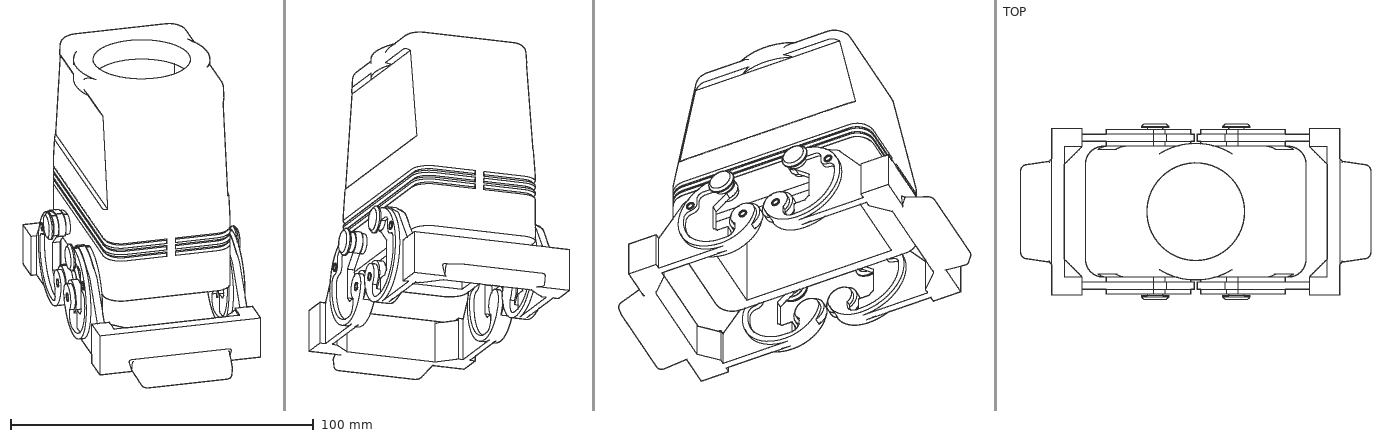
import cadquery as cq
import math

HOOD_HALF_LENGTH = 36.5
HOOD_HALF_WIDTH = 21.7
HOOD_BOTTOM = 20.6
HOOD_TOP = 90.5
TAPER_START = 44.1
TAPER_BLEND_RADIUS = 4.0
TOP_HALF_LENGTH = 27.8
CORNER_RADIUS = 6.0
TOP_EDGE_RADIUS = 2.5

ENTRY_RADIUS = 16.1
ROOF_THICKNESS = 7.0
CAVITY_TOP = HOOD_TOP - ROOF_THICKNESS
ENTRY_BOSS_RADIUS = 22.6
CAVITY_HALF_LENGTH = 26.5
CAVITY_HALF_WIDTH = 18.5

PANEL_DEPTH = 1.0
PANEL_BOTTOM = 51.6
PANEL_TOP_BEVEL = 1.4
PANEL_BOTTOM_BEVEL = 0.8

GROOVE_CENTRES = (35.9, 38.2, 40.5)
GROOVE_DEPTH = 0.8
GROOVE_GAP = 3.0

YOKE_OUTER_X = 47.6
YOKE_INNER_X = 37.5
YOKE_BAR_THICKNESS = 4.2
YOKE_HALF_WIDTH = 27.6
YOKE_HEIGHT = 14.1
YOKE_ARM_WIDTH = 6.0
GUSSET_DROP = 0.7
GUSSET_LEG = YOKE_OUTER_X - YOKE_BAR_THICKNESS - YOKE_INNER_X

PLATE_THICKNESS = 2.4
PLATE_MARGIN = 0.5
RIM_THICKNESS = 5.6
RIM_OUTER_Y = HOOD_HALF_WIDTH + RIM_THICKNESS
PLATE_OUTER_Y = HOOD_HALF_WIDTH + (RIM_THICKNESS + PLATE_THICKNESS) / 2

CAM_X = -13.9
CAM_RADIUS = 15.7
RIM_INNER_RADIUS = 13.8
HOOK_X = -6.0
HOOK_Z = 10.5
HOOK_PLATE_RADIUS = 5.6
HOOK_RIM_RADIUS = 4.4
NECK_X = -8.8
NECK_TOP = 7.2
NOTCH_RADIUS = 3.4
NOTCH_X = NECK_X - NOTCH_RADIUS
RIM_FLOOR = CAM_RADIUS - RIM_INNER_RADIUS
OPENING_X = -17.6
OPENING_BOTTOM = 8.5
OPENING_TOP = 20.0
OPENING_CORNER = 1.6
CAM_ARC_END = 124
SHOULDER_TOP = (-27.5, 27.0)
SHOULDER_MIDDLE = (-28.6, 26.2)
SHOULDER_BOTTOM = (-29.4, 25.0)
PLATE_EMBED = 1.2

PIVOT_X = -13.4
PIVOT_Z = 28.0
PIVOT_EYE_RADIUS = 3.4
EYE_TANGENT_ANGLE = -53
PIVOT_RADIUS = 2.5
PIVOT_HEAD_RADIUS = 4.5
WIDTH_OVER_PINS = 58.0
PIVOT_HEAD_THICKNESS = 1.3
PIVOT_HEAD_CHAMFER = 0.8
PIVOT_HEAD_Y = WIDTH_OVER_PINS / 2
PIVOT_INSET = 2.1

RIVET_X = -25.2
RIVET_Z = 22.7
RIVET_PAD_RADIUS = 2.5
RIVET_RING_OUTER = 1.4
RIVET_RING_INNER = 1.0
RIVET_RING_DEPTH = 0.3
PAD_EDGE_X = RIVET_X + RIVET_PAD_RADIUS
PAD_TOP = 27.0
PAD_CORNER = 2.3
RIM_ARC_END = 173
RIM_TO_PAD_MIDDLE = (-26.7, 19.5)

TAB_TILT = 15.4
TAB_THICKNESS = 4.3
TAB_ROOT_Z = 4.3
TAB_LENGTH = 10.9
TAB_ROOT_HALF_WIDTH = 16.7
TAB_FLARE = 1.0
TAB_TIP_HALF_WIDTH = 15.3
TAB_CORNER_RADIUS = 2.2
TAB_EDGE_RADIUS = 0.8
TAB_EMBED = 2.3


def polar(x, z, radius, degrees):
    """Point at an angle on a circle about (x, z), measured from +X towards +Z."""
    angle = math.radians(degrees)
    return x + radius * math.cos(angle), z + radius * math.sin(angle)


def side_disc(x, z, radius, outer_y, thickness):
    """Disc on the -Y side, with its outer face at y = -outer_y."""
    start = outer_y - thickness
    return cq.Workplane("XZ", origin=(x, -start, z)).circle(radius).extrude(thickness)


def both_sides(solid):
    """A solid together with its mirror image on the opposite Y side."""
    return solid.union(solid.mirror("XZ"))


def make_hood_shell():
    profile = [
        (-HOOD_HALF_LENGTH, HOOD_BOTTOM),
        (HOOD_HALF_LENGTH, HOOD_BOTTOM),
        (HOOD_HALF_LENGTH, TAPER_START),
        (TOP_HALF_LENGTH, HOOD_TOP),
        (-TOP_HALF_LENGTH, HOOD_TOP),
        (-HOOD_HALF_LENGTH, TAPER_START),
    ]
    hood = cq.Workplane("XZ").polyline(profile).close().extrude(HOOD_HALF_WIDTH, both=True)
    hood = hood.faces("<X").edges(">Z").fillet(TAPER_BLEND_RADIUS)
    hood = hood.faces(">X").edges(">Z").fillet(TAPER_BLEND_RADIUS)
    hood = hood.faces("<Y or >Y").edges("not(<Z or >Z)").fillet(CORNER_RADIUS)
    return hood.faces(">Z").edges().fillet(TOP_EDGE_RADIUS)


def make_panel_cutter():
    floor_y = -(HOOD_HALF_WIDTH - PANEL_DEPTH)
    outer_y = -HOOD_HALF_WIDTH
    section = [
        (floor_y, PANEL_BOTTOM + PANEL_BOTTOM_BEVEL),
        (outer_y, PANEL_BOTTOM),
        (outer_y, CAVITY_TOP + PANEL_TOP_BEVEL),
        (floor_y, CAVITY_TOP),
    ]
    return cq.Workplane("YZ").polyline(section).close().extrude(HOOD_HALF_LENGTH, both=True)


def make_groove(z):
    """Band around the hood minus a waisted core, which leaves a V section."""
    level = cq.Workplane("XY", origin=(0, 0, z))
    length = 2 * (HOOD_HALF_LENGTH - GROOVE_DEPTH)
    width = 2 * (HOOD_HALF_WIDTH - GROOVE_DEPTH)
    waist = cq.Sketch().rect(length, width).vertices().fillet(CORNER_RADIUS - GROOVE_DEPTH)
    upper_core = level.placeSketch(waist).extrude(GROOVE_DEPTH, taper=-45)
    core = upper_core.union(upper_core.mirror("XY", (0, 0, z)))
    band = level.box(2 * HOOD_HALF_LENGTH, 2 * HOOD_HALF_WIDTH, 2 * GROOVE_DEPTH)
    bridge = level.box(2 * HOOD_HALF_LENGTH, GROOVE_GAP, 2 * GROOVE_DEPTH)
    return band.cut(core).cut(bridge)


def make_hood():
    hood = make_hood_shell().cut(both_sides(make_panel_cutter()))
    boss = (
        cq.Workplane("XY", origin=(0, 0, CAVITY_TOP))
        .circle(ENTRY_BOSS_RADIUS)
        .extrude(ROOF_THICKNESS)
    )
    hood = hood.union(boss)
    for z in GROOVE_CENTRES:
        hood = hood.cut(make_groove(z))
    cavity = (
        cq.Workplane("XY", origin=(0, 0, HOOD_BOTTOM))
        .rect(2 * CAVITY_HALF_LENGTH, 2 * CAVITY_HALF_WIDTH)
        .extrude(CAVITY_TOP - HOOD_BOTTOM)
    )
    entry = cq.Workplane("XY", origin=(0, 0, HOOD_BOTTOM)).circle(ENTRY_RADIUS).extrude(HOOD_TOP)
    return hood.cut(cavity).cut(entry)


def tail_outline(sketch):
    """Outline from the underside of the cam, around the hook and neck, into the notch."""
    dx = HOOK_X - CAM_X
    radius = (dx**2 + HOOK_Z**2 - HOOK_RIM_RADIUS**2) / (2 * (HOOK_Z - HOOK_RIM_RADIUS))
    end_angle = math.degrees(math.atan2(HOOK_Z - radius, dx))
    notch_z = RIM_FLOOR + NOTCH_RADIUS
    return (
        sketch.threePointArc(
            polar(CAM_X, radius, radius, (end_angle - 90) / 2),
            polar(CAM_X, radius, radius, end_angle),
        )
        .lineTo(HOOK_X, HOOK_Z)
        .lineTo(NECK_X, NECK_TOP)
        .lineTo(NECK_X, notch_z)
        .threePointArc(polar(NOTCH_X, notch_z, NOTCH_RADIUS, -45), (NOTCH_X, RIM_FLOOR))
    )


def make_plate():
    plate_start_x = -YOKE_INNER_X - PLATE_EMBED
    top_radius = CAM_RADIUS + PLATE_MARGIN
    sketch = cq.Workplane("XZ", origin=(0, PLATE_THICKNESS - PLATE_OUTER_Y, 0))
    sketch = tail_outline(sketch.moveTo(plate_start_x, 0).lineTo(CAM_X, 0))
    outline = (
        sketch.lineTo(NOTCH_X, OPENING_BOTTOM)
        .lineTo(OPENING_X + OPENING_CORNER, OPENING_BOTTOM)
        .lineTo(OPENING_X, OPENING_BOTTOM + OPENING_CORNER)
        .lineTo(OPENING_X, OPENING_TOP)
        .lineTo(*polar(PIVOT_X, PIVOT_Z, PIVOT_EYE_RADIUS, EYE_TANGENT_ANGLE))
        .lineTo(PIVOT_X, PIVOT_Z)
        .lineTo(CAM_X, CAM_RADIUS + top_radius)
        .threePointArc(
            polar(CAM_X, CAM_RADIUS, top_radius, (90 + CAM_ARC_END) / 2),
            polar(CAM_X, CAM_RADIUS, top_radius, CAM_ARC_END),
        )
        .lineTo(*SHOULDER_TOP)
        .threePointArc(SHOULDER_MIDDLE, SHOULDER_BOTTOM)
        .lineTo(-YOKE_INNER_X, YOKE_HEIGHT)
        .lineTo(plate_start_x, YOKE_HEIGHT)
        .close()
    )
    plate = outline.extrude(PLATE_THICKNESS)
    plate = plate.union(side_disc(HOOK_X, HOOK_Z, HOOK_PLATE_RADIUS, PLATE_OUTER_Y, PLATE_THICKNESS))
    eye_radius = PIVOT_EYE_RADIUS + PLATE_MARGIN
    return plate.union(side_disc(PIVOT_X, PIVOT_Z, eye_radius, PLATE_OUTER_Y, PLATE_THICKNESS))


def make_rim():
    """Thick C-shaped border of the cam, reaching inwards to the hood's wall."""
    arc_middle = (270 + RIM_ARC_END) / 2
    sketch = cq.Workplane("XZ", origin=(0, -HOOD_HALF_WIDTH, 0)).moveTo(CAM_X, 0)
    sketch = tail_outline(sketch)
    outline = (
        sketch.lineTo(CAM_X, RIM_FLOOR)
        .threePointArc(
            polar(CAM_X, CAM_RADIUS, RIM_INNER_RADIUS, arc_middle),
            polar(CAM_X, CAM_RADIUS, RIM_INNER_RADIUS, RIM_ARC_END),
        )
        .threePointArc(RIM_TO_PAD_MIDDLE, (RIVET_X, RIVET_Z - RIVET_PAD_RADIUS))
        .threePointArc(polar(RIVET_X, RIVET_Z, RIVET_PAD_RADIUS, -45), (PAD_EDGE_X, RIVET_Z))
        .lineTo(PAD_EDGE_X, PAD_TOP - PAD_CORNER)
        .threePointArc(
            polar(PAD_EDGE_X + PAD_CORNER, PAD_TOP - PAD_CORNER, PAD_CORNER, 135),
            (PAD_EDGE_X + PAD_CORNER, PAD_TOP),
        )
        .lineTo(PIVOT_X, PAD_TOP)
        .lineTo(PIVOT_X, PIVOT_Z)
        .lineTo(CAM_X, 2 * CAM_RADIUS)
        .threePointArc((CAM_X - CAM_RADIUS, CAM_RADIUS), (CAM_X, 0))
        .close()
    )
    rim = outline.extrude(RIM_THICKNESS)
    rim = rim.union(side_disc(HOOK_X, HOOK_Z, HOOK_RIM_RADIUS, RIM_OUTER_Y, RIM_THICKNESS))
    return rim.union(side_disc(PIVOT_X, PIVOT_Z, PIVOT_EYE_RADIUS, RIM_OUTER_Y, RIM_THICKNESS))


def make_rivet_ring(x, z):
    ring = side_disc(x, z, RIVET_RING_OUTER, RIM_OUTER_Y, RIVET_RING_DEPTH)
    return ring.cut(side_disc(x, z, RIVET_RING_INNER, RIM_OUTER_Y, RIVET_RING_DEPTH))


def make_pivot():
    shank_length = PIVOT_HEAD_Y - HOOD_HALF_WIDTH + PIVOT_INSET
    shank = side_disc(PIVOT_X, PIVOT_Z, PIVOT_RADIUS, PIVOT_HEAD_Y, shank_length)
    head = side_disc(PIVOT_X, PIVOT_Z, PIVOT_HEAD_RADIUS, PIVOT_HEAD_Y, PIVOT_HEAD_THICKNESS)
    return shank.union(head.faces("<Y").edges().chamfer(PIVOT_HEAD_CHAMFER))


def make_yoke():
    width = 2 * YOKE_HALF_WIDTH
    length = YOKE_OUTER_X - YOKE_INNER_X
    middle_x = -(YOKE_OUTER_X + YOKE_INNER_X) / 2
    bar_inner_x = YOKE_BAR_THICKNESS - YOKE_OUTER_X
    arm_inner_y = YOKE_HALF_WIDTH - YOKE_ARM_WIDTH
    yoke = cq.Workplane("XY").center(middle_x, 0).rect(length, width).extrude(YOKE_HEIGHT)
    opening = (
        cq.Workplane("XY")
        .center(bar_inner_x + length / 2, 0)
        .rect(length, 2 * arm_inner_y)
        .extrude(YOKE_HEIGHT)
    )
    gusset = (
        cq.Workplane("XY")
        .moveTo(bar_inner_x, -arm_inner_y)
        .lineTo(bar_inner_x + GUSSET_LEG, -arm_inner_y)
        .lineTo(bar_inner_x, GUSSET_LEG - arm_inner_y)
        .close()
        .extrude(YOKE_HEIGHT - GUSSET_DROP)
    )
    return yoke.cut(opening).union(both_sides(gusset))


def make_tab():
    """Tapering tab that slopes down and away from the yoke's bar."""
    flared_half_width = TAB_ROOT_HALF_WIDTH + TAB_FLARE
    outline = [
        (TAB_EMBED, -flared_half_width),
        (TAB_EMBED, flared_half_width),
        (0, flared_half_width),
        (-TAB_FLARE, TAB_ROOT_HALF_WIDTH),
        (-TAB_LENGTH, TAB_TIP_HALF_WIDTH),
        (-TAB_LENGTH, -TAB_TIP_HALF_WIDTH),
        (-TAB_FLARE, -TAB_ROOT_HALF_WIDTH),
        (0, -flared_half_width),
    ]
    tab = cq.Workplane("XY").polyline(outline).close().extrude(-TAB_THICKNESS)
    tab = tab.edges("|Z and <X").fillet(TAB_CORNER_RADIUS)
    tab = tab.faces(">Z or <Z").edges("not >X").fillet(TAB_EDGE_RADIUS)
    tab = tab.rotate((0, 0, 0), (0, 1, 0), -TAB_TILT)
    return tab.translate((-YOKE_OUTER_X, 0, TAB_ROOT_Z))


def make_lever():
    """The lever on the -X end, complete with its cam plates and pivots."""
    cam = make_plate().union(make_rim())
    for x, z in ((HOOK_X, HOOK_Z), (RIVET_X, RIVET_Z)):
        cam = cam.cut(make_rivet_ring(x, z))
    cam = cam.union(make_pivot())
    return make_yoke().union(make_tab()).union(both_sides(cam))


lever = make_lever()
result = make_hood().union(lever).union(lever.mirror("YZ"))